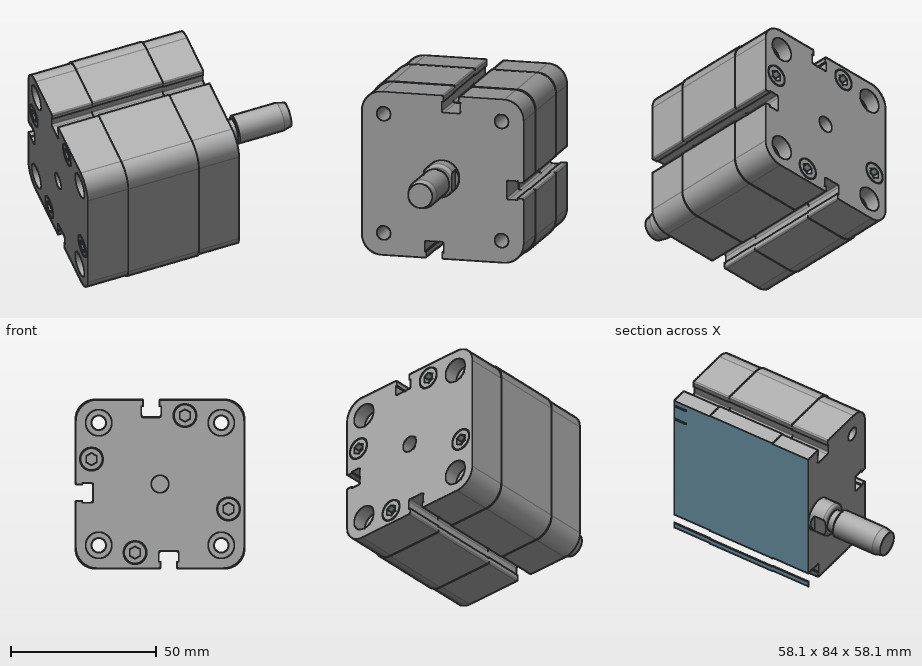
import cadquery as cq
import math


OVERALL_LENGTH = 84.0
BODY_LENGTH = 55.5
CAP_LENGTH = 14.8
CAP_WIDTH = 57.6
TUBE_WIDTH = 58.1
CORNER_RADIUS = 7.0

SLOT_OFFSET = 3.0
SLOT_NECK_WIDTH = 5.6
SLOT_NECK_DEPTH = 2.2
SLOT_WIDTH = 6.7
SLOT_DEPTH = 6.0
SLOT_MOUTH_RADIUS = 0.5
SLOT_FLOOR_RADIUS = 0.7
SLOT_TURNS = (0, 90, 180)

MOUNT_SPACING = 42.0
MOUNT_HOLE_DIAMETER = 4.92
MOUNT_BORE_DIAMETER = 9.0
MOUNT_BORE_DEPTH = 5.5

CENTRE_HOLE_DIAMETER = 6.0
CENTRE_HOLE_DEPTH = 5.0

SCREW_CIRCLE_RADIUS = 25.0
SCREW_START_ANGLE = 70.0
SCREW_COUNT = 4
SCREW_BORE_DIAMETER = 8.0
SCREW_HEAD_DIAMETER = 7.5
SCREW_HEAD_HEIGHT = 5.0
SCREW_SOCKET_WIDTH = 3.7
SCREW_SOCKET_DEPTH = 2.5
SCREW_SOCKET_TURN = 30.0

COLLAR_DIAMETER = 12.0
COLLAR_LENGTH = 6.5
COLLAR_EDGE_RADIUS = 1.2
FLAT_WIDTH = 10.0
FLAT_START = 1.9
NECK_DIAMETER = 7.9
NECK_LENGTH = 2.5
THREAD_DIAMETER = 10.0
THREAD_CHAMFER_LENGTH = 0.4
TIP_DIAMETER = 8.57
TIP_LENGTH = 2.9

CUT_MARGIN = 1.0


def section_plane(y):
    """Workplane across the body axis: local x is X, local y is Z, negative extrusion runs toward +Y."""
    return cq.Workplane("XZ", origin=(0, y, 0))


def cylinder(start, length, diameter, x=0, z=0):
    return section_plane(start).center(x, z).circle(diameter / 2).extrude(-length)


def slot_cutter(start, length, body_width):
    """T-slot in the top side, with a rounded mouth and rounded floor corners."""
    surface = body_width / 2
    above = surface + CUT_MARGIN
    lip = surface - SLOT_NECK_DEPTH
    floor = surface - SLOT_DEPTH
    neck = SLOT_NECK_WIDTH / 2
    mouth = neck + SLOT_MOUTH_RADIUS
    side = SLOT_WIDTH / 2
    profile = (
        section_plane(start)
        .center(-SLOT_OFFSET, 0)
        .moveTo(-mouth, above)
        .lineTo(-mouth, surface)
        .radiusArc((-neck, surface - SLOT_MOUTH_RADIUS), SLOT_MOUTH_RADIUS)
        .lineTo(-neck, lip)
        .lineTo(-side, lip)
        .lineTo(-side, floor + SLOT_FLOOR_RADIUS)
        .radiusArc((-side + SLOT_FLOOR_RADIUS, floor), -SLOT_FLOOR_RADIUS)
        .lineTo(side - SLOT_FLOOR_RADIUS, floor)
        .radiusArc((side, floor + SLOT_FLOOR_RADIUS), -SLOT_FLOOR_RADIUS)
        .lineTo(side, lip)
        .lineTo(neck, lip)
        .lineTo(neck, surface - SLOT_MOUTH_RADIUS)
        .radiusArc((mouth, surface), SLOT_MOUTH_RADIUS)
        .lineTo(mouth, above)
        .close()
    )
    return profile.extrude(-length)


def body_section(start, length, width):
    """Rounded square block with its three sensor slots."""
    section = section_plane(start).rect(width, width).extrude(-length)
    section = section.edges("|Y").fillet(CORNER_RADIUS)
    cutter = slot_cutter(start, length, width)
    for turn in SLOT_TURNS:
        section = section.cut(cutter.rotate((0, 0, 0), (0, 1, 0), -turn))
    return section


def mounting_hole(x, z):
    through_hole = cylinder(-CUT_MARGIN, BODY_LENGTH + 2 * CUT_MARGIN, MOUNT_HOLE_DIAMETER, x, z)
    return through_hole.union(cylinder(0, MOUNT_BORE_DEPTH, MOUNT_BORE_DIAMETER, x, z))


def screw_gap(x, z):
    """Space to remove around a screw head and inside its hexagon socket."""
    bore = cylinder(0, SCREW_HEAD_HEIGHT, SCREW_BORE_DIAMETER, x, z)
    head = cylinder(0, SCREW_HEAD_HEIGHT, SCREW_HEAD_DIAMETER, x, z)
    corner_diameter = SCREW_SOCKET_WIDTH / math.cos(math.radians(30))
    socket = cq.Workplane("XZ").polygon(6, corner_diameter).extrude(-SCREW_SOCKET_DEPTH)
    socket = socket.rotate((0, 0, 0), (0, 1, 0), SCREW_SOCKET_TURN).translate((x, 0, z))
    return bore.cut(head.cut(socket))


def piston_rod():
    """Collar, undercut neck and thread as one turned shape, then two spanner flats."""
    collar_end = BODY_LENGTH + COLLAR_LENGTH
    thread_start = collar_end + NECK_LENGTH
    collar_radius = COLLAR_DIAMETER / 2
    neck_radius = NECK_DIAMETER / 2
    thread_radius = THREAD_DIAMETER / 2
    profile = (
        cq.Workplane("XY")
        .moveTo(0, BODY_LENGTH)
        .lineTo(collar_radius, BODY_LENGTH)
        .lineTo(collar_radius, collar_end - COLLAR_EDGE_RADIUS)
        .radiusArc((collar_radius - COLLAR_EDGE_RADIUS, collar_end), -COLLAR_EDGE_RADIUS)
        .lineTo(neck_radius, collar_end)
        .lineTo(neck_radius, thread_start)
        .lineTo(TIP_DIAMETER / 2, thread_start)
        .lineTo(thread_radius, thread_start + THREAD_CHAMFER_LENGTH)
        .lineTo(thread_radius, OVERALL_LENGTH - TIP_LENGTH)
        .lineTo(TIP_DIAMETER / 2, OVERALL_LENGTH)
        .lineTo(0, OVERALL_LENGTH)
        .close()
    )
    rod = profile.revolve(360, (0, 0, 0), (0, 1, 0))
    flat = FLAT_WIDTH / 2
    flat_start = BODY_LENGTH + FLAT_START
    run_out = collar_radius - flat
    flat_cutter = (
        cq.Workplane("XY")
        .moveTo(flat, flat_start)
        .lineTo(collar_radius, flat_start - run_out)
        .lineTo(collar_radius, collar_end)
        .lineTo(flat, collar_end)
        .close()
        .extrude(collar_radius, both=True)
    )
    return rod.cut(flat_cutter).cut(flat_cutter.mirror("YZ"))


tube_length = BODY_LENGTH - 2 * CAP_LENGTH
result = body_section(0, CAP_LENGTH, CAP_WIDTH)
result = result.union(body_section(CAP_LENGTH, tube_length, TUBE_WIDTH))
result = result.union(body_section(CAP_LENGTH + tube_length, CAP_LENGTH, CAP_WIDTH))
result = result.union(piston_rod())

for x_side in (-1, 1):
    for z_side in (-1, 1):
        result = result.cut(mounting_hole(x_side * MOUNT_SPACING / 2, z_side * MOUNT_SPACING / 2))

for index in range(SCREW_COUNT):
    angle = math.radians(SCREW_START_ANGLE + index * 360 / SCREW_COUNT)
    screw_x = SCREW_CIRCLE_RADIUS * math.cos(angle)
    screw_z = SCREW_CIRCLE_RADIUS * math.sin(angle)
    result = result.cut(screw_gap(screw_x, screw_z))

result = result.cut(cylinder(0, CENTRE_HOLE_DEPTH, CENTRE_HOLE_DIAMETER))